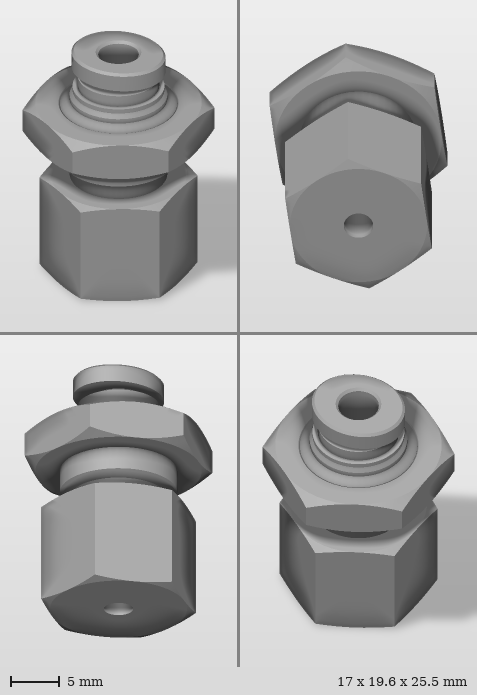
import cadquery as cq
import math

TOTAL_HEIGHT = 25.5
HEX_HEIGHT = 11.0
SHANK_TOP = 12.5
NUT_BOTTOM = 15.48
NUT_THICKNESS = 4.0
THREAD_LEAD_TOP = 20.0
NOSE_CONE_BOTTOM = 20.5
NOSE_CONE_TOP = 21.0
COLLAR_BOTTOM = 21.5
COLLAR_TOP = 22.75
HEAD_BOTTOM = 23.5

HEX_FLATS = 14.02
HEX_BEVEL_ANGLE = 18.0
SHANK_DIAMETER = 10.0
THREAD_DIAMETER = 12.0
THREAD_LEAD_ANGLE = 30.0
NOSE_DIAMETER = 9.4
COLLAR_DIAMETER = 8.35
FLOW_DIAMETER = 3.0

NUT_FLATS = 17.0
NUT_BEVEL_ANGLE = 30.0
NUT_MOUTH_DIAMETER = 12.3

HEAD_LENGTH = 9.9
HEAD_WIDTH = 8.6
HEAD_CHAMFER = 0.25
SLEEVE_DIAMETER = 5.5
SLEEVE_DEPTH = 2.55
TUBE_DIAMETER = 4.15
TUBE_MOUTH_DIAMETER = 4.67


def tan_deg(angle):
    return math.tan(math.radians(angle))


def cylinder(diameter, bottom, top):
    return cq.Workplane("XY").workplane(offset=bottom).circle(diameter / 2).extrude(top - bottom)


def revolve_profile(points):
    """Solid of revolution about Z from (radius, height) points."""
    return cq.Workplane("XZ").polyline(points).close().revolve(360, (0, 0, 0), (0, 1, 0))


def beveled_hexagon(flats, bottom, height, bevel_angle):
    """Hexagonal prism with flats facing X and both ends bevelled down to the inscribed circle."""
    corner_radius = flats / math.sqrt(3)
    face_radius = flats / 2
    drop = (corner_radius - face_radius) * tan_deg(bevel_angle)
    top = bottom + height
    prism = (
        cq.Workplane("XY")
        .workplane(offset=bottom)
        .polygon(6, 2 * corner_radius)
        .extrude(height)
        .rotate((0, 0, 0), (0, 0, 1), 30)
    )
    envelope = revolve_profile([
        (0, bottom),
        (face_radius, bottom),
        (corner_radius, bottom + drop),
        (corner_radius, top - drop),
        (face_radius, top),
        (0, top),
    ])
    return prism.intersect(envelope)


def make_fitting():
    """Hexagonal base, threaded stem and stepped nose, bored for flow and for the button sleeve."""
    shank_radius = SHANK_DIAMETER / 2
    thread_radius = THREAD_DIAMETER / 2
    nose_radius = NOSE_DIAMETER / 2
    collar_radius = COLLAR_DIAMETER / 2
    lead_height = (thread_radius - shank_radius) * tan_deg(THREAD_LEAD_ANGLE)
    stem = revolve_profile([
        (0, 0),
        (shank_radius, 0),
        (shank_radius, SHANK_TOP),
        (thread_radius, SHANK_TOP + lead_height),
        (thread_radius, THREAD_LEAD_TOP - lead_height),
        (shank_radius, THREAD_LEAD_TOP),
        (shank_radius, NOSE_CONE_BOTTOM),
        (nose_radius, NOSE_CONE_TOP),
        (nose_radius, COLLAR_BOTTOM),
        (collar_radius, COLLAR_BOTTOM),
        (collar_radius, COLLAR_TOP),
        (0, COLLAR_TOP),
    ])
    flow_bore = cylinder(FLOW_DIAMETER, 0, COLLAR_TOP)
    sleeve_socket = cylinder(SLEEVE_DIAMETER, COLLAR_TOP - SLEEVE_DEPTH, COLLAR_TOP)
    base = beveled_hexagon(HEX_FLATS, 0, HEX_HEIGHT, HEX_BEVEL_ANGLE)
    return base.union(stem).cut(flow_bore).cut(sleeve_socket)


def make_nut():
    """Hexagonal lock nut, its bore matching the thread and countersunk at the top."""
    top = NUT_BOTTOM + NUT_THICKNESS
    bore = cylinder(THREAD_DIAMETER, NUT_BOTTOM, top)
    mouth_depth = (NUT_MOUTH_DIAMETER - THREAD_DIAMETER) / 2
    mouth = revolve_profile([
        (0, top - mouth_depth),
        (THREAD_DIAMETER / 2, top - mouth_depth),
        (NUT_MOUTH_DIAMETER / 2, top),
        (0, top),
    ])
    blank = beveled_hexagon(NUT_FLATS, NUT_BOTTOM, NUT_THICKNESS, NUT_BEVEL_ANGLE)
    return blank.cut(bore).cut(mouth)


def make_button():
    """Oval release head on a round sleeve, with a countersunk bore for the tube."""
    head = (
        cq.Workplane("XY")
        .workplane(offset=HEAD_BOTTOM)
        .ellipse(HEAD_LENGTH / 2, HEAD_WIDTH / 2)
        .extrude(TOTAL_HEIGHT - HEAD_BOTTOM)
        .faces(">Z")
        .edges()
        .chamfer(HEAD_CHAMFER)
    )
    sleeve_bottom = COLLAR_TOP - SLEEVE_DEPTH
    sleeve = cylinder(SLEEVE_DIAMETER, sleeve_bottom, HEAD_BOTTOM)
    tube_bore = cylinder(TUBE_DIAMETER, sleeve_bottom, TOTAL_HEIGHT)
    mouth_depth = (TUBE_MOUTH_DIAMETER - TUBE_DIAMETER) / 2
    mouth = revolve_profile([
        (0, TOTAL_HEIGHT - mouth_depth),
        (TUBE_DIAMETER / 2, TOTAL_HEIGHT - mouth_depth),
        (TUBE_MOUTH_DIAMETER / 2, TOTAL_HEIGHT),
        (0, TOTAL_HEIGHT),
    ])
    return head.union(sleeve).cut(tube_bore).cut(mouth)


fitting = make_fitting()
lock_nut = make_nut()
release_button = make_button()

result = cq.Compound.makeCompound([fitting.val(), lock_nut.val(), release_button.val()])